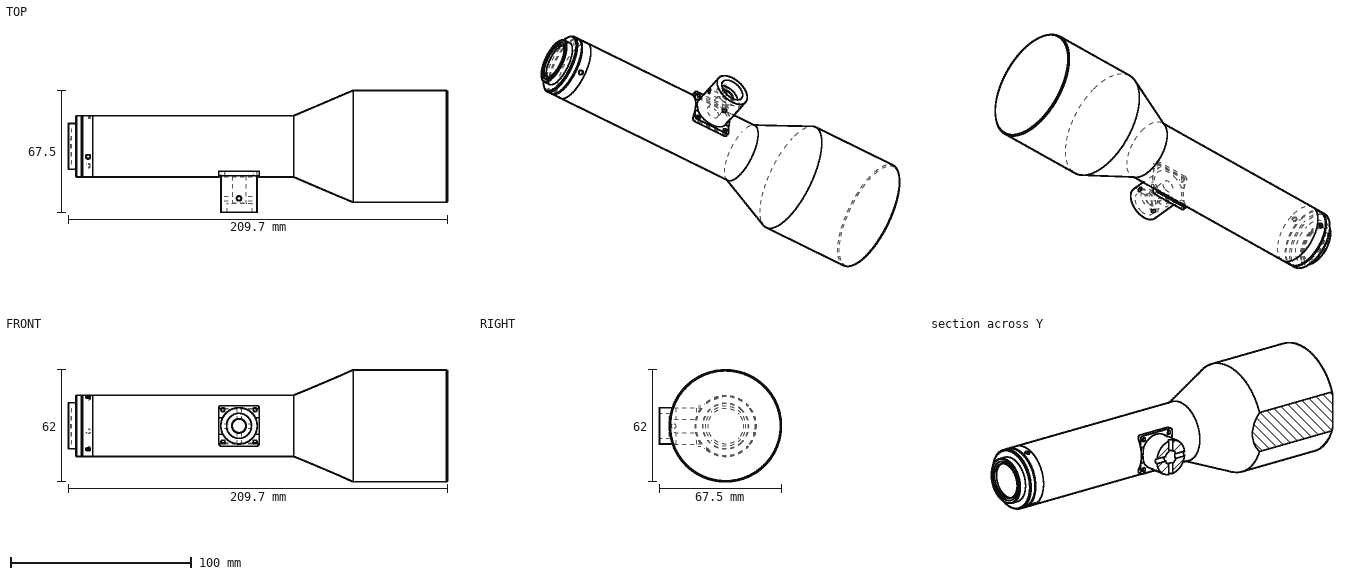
import cadquery as cq
import math

total_length = 209.7

nose_radius = 12.8
nose_length = 4.0
nose_chamfer = 0.31
mount_length = 13.5
groove_x = 7.5
groove_depth = 0.31
recess_radius = 11.1
window_radius = 9.9
window_depth = 1.7
recess_depth = 0.31
window_sag = 0.6
screw_x = 11.0
screw_radius = 1.3
screw_depth = 1.0
screw_count = 3
first_screw_angle = 20.0

tube_radius = 17.0
seat_depth = 0.2
seat_radius = tube_radius - seat_depth
bell_radius = 31.0
cone_start_x = 124.5
cone_end_x = 157.5
edge_chamfer = 0.6

connector_x = 94.4
connector_end_y = -36.5
plate_size = 22.5
plate_front_y = -16.1
plate_thickness = 2.3
plate_back_y = plate_front_y + plate_thickness
plate_corner_radius = 1.5
plate_hole_pitch = 17.8
plate_hole_radius = 1.0
barrel_radius = 10.0
bore_radius = 7.0
bore_depth = 5.0
passage_radius = 3.8
passage_chamfer = 0.2
chamfer_angle = 45
cross_hole_y = -28.7
cross_hole_radius = 1.3


def make_mount():
    """Chamfered nose, grooved collar, stepped recess with a domed window, and radial screw holes."""
    dome_radius = (window_radius**2 + window_sag**2) / (2 * window_sag)
    half_angle = math.asin(window_radius / dome_radius) / 2
    dome_midpoint = (
        window_depth - window_sag + dome_radius * (1 - math.cos(half_angle)),
        dome_radius * math.sin(half_angle),
    )
    mount = (
        cq.Workplane("XY")
        .moveTo(window_depth - window_sag, 0)
        .threePointArc(dome_midpoint, (window_depth, window_radius))
        .lineTo(recess_depth, window_radius)
        .lineTo(recess_depth, recess_radius)
        .lineTo(0, recess_radius)
        .lineTo(0, nose_radius - nose_chamfer)
        .lineTo(nose_chamfer, nose_radius)
        .lineTo(nose_length, nose_radius)
        .lineTo(nose_length, tube_radius - edge_chamfer)
        .lineTo(nose_length + edge_chamfer, tube_radius)
        .lineTo(groove_x - groove_depth, tube_radius)
        .lineTo(groove_x, tube_radius - groove_depth)
        .lineTo(groove_x + groove_depth, tube_radius)
        .lineTo(mount_length, tube_radius)
        .lineTo(mount_length, 0)
        .close()
        .revolve(360, (0, 0, 0), (1, 0, 0))
    )
    for index in range(screw_count):
        angle = math.radians(first_screw_angle + index * 360 / screw_count)
        outward = cq.Vector(0, -math.sin(angle), math.cos(angle))
        hole_floor = cq.Vector(screw_x, 0, 0) + outward * (tube_radius - screw_depth)
        screw_hole = cq.Solid.makeCylinder(screw_radius, 2 * screw_depth, hole_floor, outward)
        mount = mount.cut(cq.Workplane(screw_hole))
    return mount


def make_housing():
    """Solid tube that widens through a cone to the bell, with a shallow seat for the connector flange."""
    body = (
        cq.Workplane("XY")
        .moveTo(mount_length, 0)
        .lineTo(mount_length, tube_radius)
        .lineTo(cone_start_x, tube_radius)
        .lineTo(cone_end_x, bell_radius)
        .lineTo(total_length - edge_chamfer, bell_radius)
        .lineTo(total_length, bell_radius - edge_chamfer)
        .lineTo(total_length, 0)
        .close()
        .revolve(360, (0, 0, 0), (1, 0, 0))
    )
    seat_cut = flange_block(tube_radius).cut(seat_core())
    return body.cut(seat_cut)


def connector_plane(y):
    """Plane across the connector axis; positive extrusion runs outwards, towards -Y."""
    return cq.Workplane("XZ", origin=(connector_x, y, 0))


def flange_block(thickness):
    """Rounded square block that rises outwards from the back of the connector flange."""
    return (
        connector_plane(plate_back_y)
        .rect(plate_size, plate_size)
        .extrude(thickness)
        .edges("|Y")
        .fillet(plate_corner_radius)
    )


def seat_core():
    """Cylinder whose surface is the floor of the connector seat."""
    return cq.Workplane("YZ").circle(seat_radius).extrude(total_length)


def make_connector():
    """Square flange and bored barrel, with the back shaped as a saddle on the tube."""
    plate = flange_block(plate_thickness)
    plate_holes = (
        connector_plane(0)
        .rect(plate_hole_pitch, plate_hole_pitch, forConstruction=True)
        .vertices()
        .circle(plate_hole_radius)
        .extrude(-connector_end_y)
    )
    barrel = connector_plane(plate_back_y).circle(barrel_radius).extrude(plate_back_y - connector_end_y)
    bore_floor_y = connector_end_y + bore_depth
    bore = connector_plane(bore_floor_y).circle(bore_radius).extrude(bore_depth)
    passage = connector_plane(0).circle(passage_radius).extrude(-bore_floor_y)
    mouth = (
        connector_plane(bore_floor_y)
        .circle(passage_radius + passage_chamfer)
        .extrude(-passage_chamfer, taper=chamfer_angle)
    )
    seat = seat_core()
    connector = plate.cut(plate_holes).union(barrel).cut(bore).cut(passage).cut(mouth).cut(seat)
    for plane in ("XY", "YZ"):
        cross_hole = (
            cq.Workplane(plane, origin=(connector_x, cross_hole_y, 0))
            .circle(cross_hole_radius)
            .extrude(plate_size, both=True)
        )
        connector = connector.cut(cross_hole)
    return connector


mount = make_mount()
housing = make_housing()
connector = make_connector()

result = cq.Compound.makeCompound([body.solids().val() for body in (mount, housing, connector)])